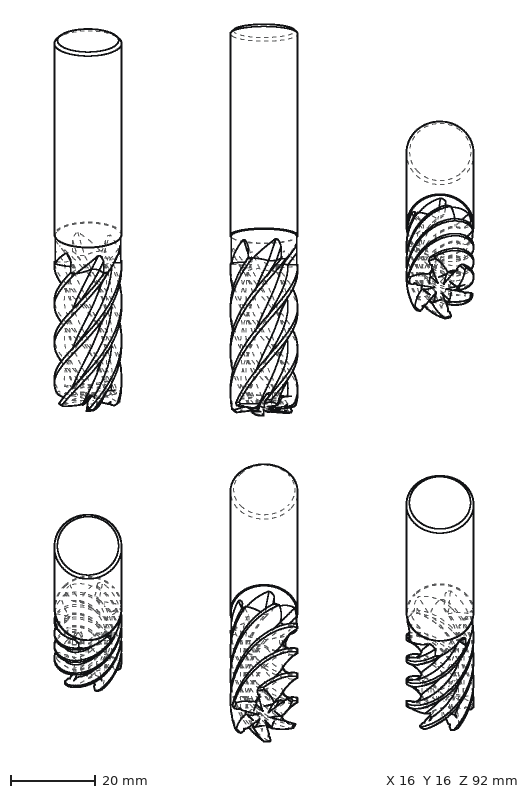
import cadquery as cq
import math


total_length = 92.0
cutter_radius = 8.0
shank_chamfer = 0.7
neck_radius = 7.8
neck_top = 42.0
neck_step = neck_top + (cutter_radius - neck_radius)
head_length = 35.1
tip_chamfer = 0.55

flute_count = 6
flute_pitch = 360.0 / flute_count
helix_angle = 40.0
helix_lead = 2 * math.pi * cutter_radius / math.tan(math.radians(helix_angle))
head_twist = 360.0 * head_length / helix_lead
top_edge_angle = -90.0

land_angle = 7.5
mouth_radius = 8.2
outer_radius = 12.0
rake_root_radius = 5.7
core_radius = 4.4
core_angle = -17.0
back_bulge = 0.4
floor_hollow = 0.2

runout_height = 4.7

gash_height = 2.85
gash_start_radius = 1.4
gash_end_radius = 6.6

relief_height = 0.6
relief_start = 0.7
relief_length = 5.5
relief_inner_radius = 2.8


def polar(radius, angle):
    """Point at the given radius and angle in degrees."""
    return (radius * math.cos(math.radians(angle)), radius * math.sin(math.radians(angle)))


def bowed_middle(start, end, bulge):
    """Middle point of an arc from start to end that bows to the right of its chord by bulge."""
    chord_x = end[0] - start[0]
    chord_y = end[1] - start[1]
    chord = math.hypot(chord_x, chord_y)
    middle_x = (start[0] + end[0]) / 2 + bulge * chord_y / chord
    middle_y = (start[1] + end[1]) / 2 - bulge * chord_x / chord
    return (middle_x, middle_y)


def make_flute_section(edge, height):
    """Cross-section of the flute ahead of the cutting edge at the angle edge, open to the outside."""
    heel = polar(mouth_radius, edge - flute_pitch + land_angle)
    core = polar(core_radius, edge + core_angle)
    rake_root = polar(rake_root_radius, edge)
    return (
        cq.Workplane("XY", origin=(0, 0, height))
        .moveTo(*heel)
        .threePointArc(bowed_middle(heel, core, back_bulge), core)
        .threePointArc(bowed_middle(core, rake_root, -floor_hollow), rake_root)
        .lineTo(*polar(outer_radius, edge))
        .lineTo(*polar(outer_radius, edge - flute_pitch + land_angle))
        .close()
    )


def make_gash(edge):
    """Notch that deepens the end of the flute; its flat wall follows the edge at the angle edge."""
    section = (
        cq.Workplane("XY")
        .polyline([(gash_start_radius, 0), (outer_radius, 0), polar(core_radius, core_angle)])
        .close()
    )
    lean = gash_end_radius * math.sin(math.radians(360.0 * gash_height / helix_lead))
    path = cq.Vector(0, lean, gash_height)
    gash = cq.Workplane(cq.Solid.extrudeLinear(section.val(), [], path))
    return gash.rotate((0, 0, 0), (0, 0, 1), edge)


def make_end_relief(edge):
    """Shallow wedge under the end of the tooth behind the cutting edge at the angle edge."""
    return (
        cq.Workplane("YZ", origin=(relief_inner_radius, 0, 0))
        .polyline([(relief_start, 0), (relief_length, relief_height), (relief_length, 0)])
        .close()
        .extrude(cutter_radius)
        .rotate((0, 0, 0), (0, 0, 1), edge)
    )


def make_head():
    """Blank chamfered at its cutting end, with twisted flutes, end gashes and end relief."""
    first_edge = top_edge_angle - head_twist
    body = cq.Workplane("XY").circle(cutter_radius).extrude(head_length).faces("<Z").chamfer(tip_chamfer)
    for flute in range(flute_count):
        edge = first_edge + flute * flute_pitch
        body = body.cut(make_flute_section(edge, 0).twistExtrude(head_length, head_twist))
        body = body.cut(make_gash(edge)).cut(make_end_relief(edge))
    return body


def make_runout(edge):
    """Flute space of the cutting edge at the angle edge, sliding outwards as it rises."""
    section = make_flute_section(edge, head_length)
    slide = polar(neck_radius - core_radius, edge)
    path = cq.Vector(*slide, runout_height)
    return cq.Workplane(cq.Solid.extrudeLinear(section.val(), [], path))


def make_shank():
    """Shank with chamfered end and a slightly thinner neck that takes the flute run-outs."""
    body = (
        cq.Workplane("XZ")
        .polyline([
            (0, head_length),
            (neck_radius, head_length),
            (neck_radius, neck_top),
            (cutter_radius, neck_step),
            (cutter_radius, total_length - shank_chamfer),
            (cutter_radius - shank_chamfer, total_length),
            (0, total_length),
        ])
        .close()
        .revolve(360, (0, 0, 0), (0, 1, 0))
    )
    for flute in range(flute_count):
        body = body.cut(make_runout(top_edge_angle + flute * flute_pitch))
    return body


shank = make_shank()
head = make_head()
result = cq.Compound.makeCompound([shank.solids().val(), head.solids().val()])